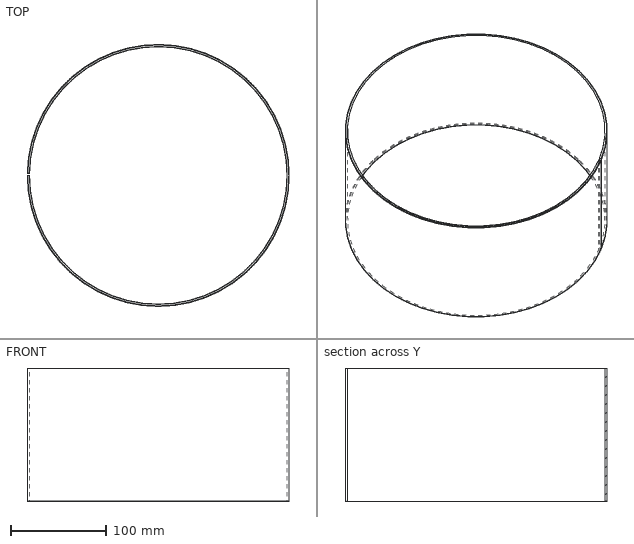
import cadquery as cq

outer_diameter = 275.0
height = 140.0
wall = 2.4
slit_width = 2.2
rim_chamfer = 0.5

outer_radius = outer_diameter / 2
inner_radius = outer_radius - wall

outer_body = cq.Workplane("XY").circle(outer_radius).extrude(height).edges().chamfer(rim_chamfer)
bore = cq.Workplane("XY").circle(inner_radius).extrude(height)
sleeve = outer_body.cut(bore)

slit_depth = 4 * wall
slit = (
    cq.Workplane("XY")
    .center(-outer_radius, slit_width / 2)
    .rect(slit_depth, slit_width)
    .extrude(height)
)

result = sleeve.cut(slit)